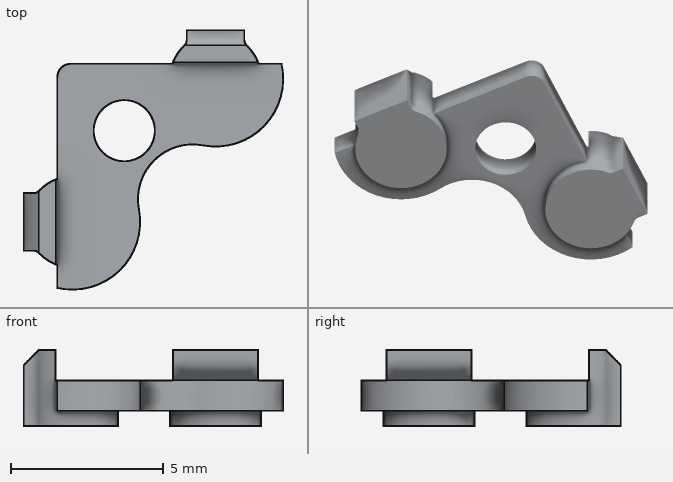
import cadquery as cq
import math


foot_height = 0.5
plate_thickness = 1.0
total_height = 2.5
plate_top = foot_height + plate_thickness

hole_diameter = 2.0
edge_offset = 2.2
corner_radius = 0.45
lobe_radius = 2.225
inner_radius = 1.79

foot_radius = 1.5
foot_inset = 0.5
foot_distance = 2.995
clip_reach = 1.1
clip_width = 1.9
clip_gap = 0.05
clip_chamfer = 0.5
neck_fillet = 0.25

foot_x = foot_inset - edge_offset
foot_y = -foot_distance
clip_face_x = -edge_offset - clip_reach


def mirror_point(point):
    """Reflect a point across the diagonal y = -x."""
    return (-point[1], -point[0])


def mirror_solid(shape):
    """Reflect a solid across the diagonal plane y = -x."""
    return shape.mirror(cq.Vector(1, 1, 0), (0, 0, 0))


def lobe_point(angle):
    """Point of the lower lobe at an angle in radians."""
    return (foot_x + lobe_radius * math.cos(angle), foot_y + lobe_radius * math.sin(angle))


def make_plate():
    center_spacing = lobe_radius + inner_radius
    half_sum = (foot_x - foot_y) / 2
    half_difference = (foot_x + foot_y) / 2
    inner_center = half_sum + math.sqrt(center_spacing**2 / 2 - half_difference**2)

    tangent_angle = math.atan2(-inner_center - foot_y, inner_center - foot_x)
    tip_angle = -math.acos(-foot_inset / lobe_radius)
    lobe_tip = lobe_point(tip_angle)
    lobe_middle = lobe_point((tip_angle + tangent_angle) / 2)
    lobe_end = lobe_point(tangent_angle)
    inner_offset = inner_center - inner_radius * math.cos(math.pi / 4)

    outline = (
        cq.Workplane("XY", origin=(0, 0, foot_height))
        .moveTo(-edge_offset, edge_offset)
        .lineTo(*lobe_tip)
        .threePointArc(lobe_middle, lobe_end)
        .threePointArc((inner_offset, -inner_offset), mirror_point(lobe_end))
        .threePointArc(mirror_point(lobe_middle), mirror_point(lobe_tip))
        .close()
    )
    plate = outline.extrude(plate_thickness)
    corner = cq.selectors.NearestToPointSelector((-edge_offset, edge_offset, plate_top))
    plate = plate.edges("|Z").edges(corner).fillet(corner_radius)
    hole = cq.Workplane("XY").circle(hole_diameter / 2).extrude(total_height)
    return plate.cut(hole)


def make_clip():
    """Foot disc of the lower arm with its upright clip outside the plate edge."""
    half_width = clip_width / 2
    fillet_rise = half_width + neck_fillet
    fillet_run = math.sqrt((foot_radius + neck_fillet) ** 2 - fillet_rise**2)
    fillet_x = foot_x - fillet_run
    on_foot = foot_radius / (foot_radius + neck_fillet)
    foot_touch_x = foot_x - fillet_run * on_foot
    foot_touch_rise = fillet_rise * on_foot
    bend_angle = (math.atan2(-fillet_rise, fillet_run) - math.pi / 2) / 2
    bend_x = fillet_x + neck_fillet * math.cos(bend_angle)
    bend_rise = fillet_rise + neck_fillet * math.sin(bend_angle)

    body = (
        cq.Workplane("XY")
        .moveTo(clip_face_x, foot_y - half_width)
        .lineTo(fillet_x, foot_y - half_width)
        .threePointArc((bend_x, foot_y - bend_rise), (foot_touch_x, foot_y - foot_touch_rise))
        .threePointArc((foot_x + foot_radius, foot_y), (foot_touch_x, foot_y + foot_touch_rise))
        .threePointArc((bend_x, foot_y + bend_rise), (fillet_x, foot_y + half_width))
        .lineTo(clip_face_x, foot_y + half_width)
        .close()
        .extrude(total_height)
    )

    clip_back_x = -edge_offset - clip_gap
    profile = (
        cq.Workplane("XZ", origin=(0, foot_y + foot_radius, 0))
        .moveTo(clip_face_x, 0)
        .lineTo(foot_x + foot_radius, 0)
        .lineTo(foot_x + foot_radius, plate_top)
        .lineTo(clip_back_x, plate_top)
        .lineTo(clip_back_x, total_height)
        .lineTo(clip_face_x + clip_chamfer, total_height)
        .lineTo(clip_face_x, total_height - clip_chamfer)
        .close()
        .extrude(2 * foot_radius)
    )
    return body.intersect(profile)


clip = make_clip()
result = make_plate().union(clip).union(mirror_solid(clip))